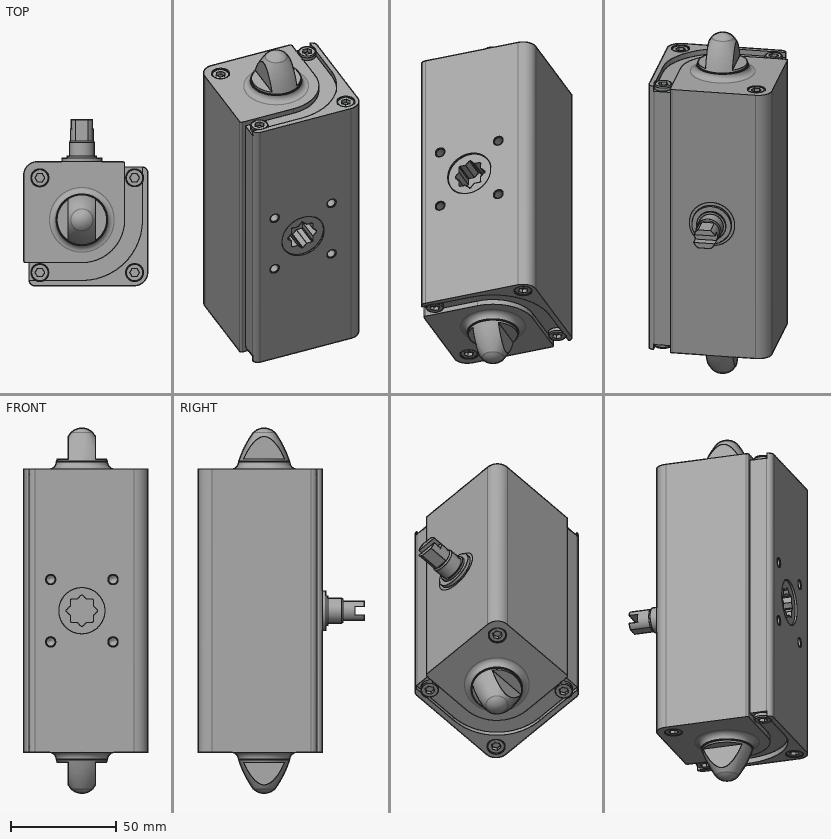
import cadquery as cq
import math


housing_length = 135.0
housing_half_length = housing_length / 2
block_side = 27.75
rail_side = 31.45
block_edge = 20.4
rail_end = 25.2
large_corner_radius = 6.6
rail_tip_radius = 2.8
block_tip_radius = 1.1

channel_depth = 2.6
channel_outer_radius = 28.9
channel_inner_radius = block_edge

screw_near = 20.0
screw_far = 25.1
screw_points = [
    (-screw_near, screw_near),
    (screw_far, screw_near),
    (-screw_near, -screw_far),
    (screw_far, -screw_far),
]
counterbore_diameter = 8.57
screw_head_diameter = 8.5
screw_head_drop = 0.35
screw_head_chamfer_height = 0.7
screw_head_chamfer_width = 0.35
hex_across_flats = 4.0
hex_across_corners = hex_across_flats / math.cos(math.radians(30))
hex_depth = 2.0

knob_height = 19.5
knob_radius = 12.3
knob_foot_radius = 15.4
knob_foot_height = 3.2
knob_foot_sag = 0.3
knob_groove_radius = 11.9
knob_groove_width = 0.5
knob_flank_base_radius = 12.1
knob_shoulder_height = 4.7
knob_blade_thickness = 13.0
knob_cap_radius = 5.2
knob_cap_base_height = 17.3
knob_flank_bulge = 0.45

mount_circle_diameter = 42.0
mount_pitch = mount_circle_diameter / math.sqrt(2)
mount_mouth_diameter = 4.92
mount_core_diameter = 4.13
mount_depth = 8.0
mount_tip_angle = 118.0

shaft_hub_diameter = 22.0
shaft_recess = 1.0
collar_diameter = 19.0
collar_length = 1.6
step_diameter = 14.1
step_length = 1.0
neck_diameter = 12.0
neck_length = 7.3
tip_diameter = 11.0
tip_length = 10.1
tip_across_flats = 9.2
neck_bevel_length = 0.9
neck_bevel_width = (neck_diameter - tip_diameter) / 2
slot_width = 4.0
slot_depth = 4.4
socket_square = 11.0
socket_tip_diameter = 15.0
socket_depth = 12.0


def housing_block():
    outline = (
        cq.Workplane("XY")
        .moveTo(-block_side, block_side)
        .lineTo(block_edge, block_side)
        .lineTo(block_edge, rail_end)
        .lineTo(rail_side, rail_end)
        .lineTo(rail_side, -rail_side)
        .lineTo(-rail_end, -rail_side)
        .lineTo(-rail_end, -block_edge)
        .lineTo(-block_side, -block_edge)
        .close()
    )
    block = outline.extrude(housing_half_length, both=True)

    def round_edges(solid, points, radius):
        for x, y in points:
            solid = solid.edges(cq.selectors.NearestToPointSelector((x, y, 0))).fillet(radius)
        return solid

    block = round_edges(block, [(-block_side, block_side), (rail_side, -rail_side)], large_corner_radius)
    block = round_edges(block, [(rail_side, rail_end), (-rail_end, -rail_side)], rail_tip_radius)
    return round_edges(block, [(block_edge, block_side), (-block_side, -block_edge)], block_tip_radius)


def rounded_quadrant(radius, height):
    """Prism filling x < radius, y > -radius, with the (+X, -Y) corner rounded about the origin."""
    reach = 2 * rail_side
    diagonal = radius / math.sqrt(2)
    return (
        cq.Workplane("XY")
        .moveTo(-reach, -radius)
        .lineTo(0, -radius)
        .threePointArc((diagonal, -diagonal), (radius, 0))
        .lineTo(radius, reach)
        .lineTo(-reach, reach)
        .close()
        .extrude(height)
    )


def end_cutter():
    """Channel and screw counterbores, with the screw heads left standing."""
    channel = rounded_quadrant(channel_outer_radius, channel_depth)
    channel = channel.cut(rounded_quadrant(channel_inner_radius, channel_depth))
    counterbores = (
        cq.Workplane("XY").pushPoints(screw_points).circle(counterbore_diameter / 2).extrude(channel_depth)
    )
    heads = (
        cq.Workplane("XY")
        .pushPoints(screw_points)
        .circle(screw_head_diameter / 2)
        .extrude(channel_depth - screw_head_drop)
        .faces(">Z")
        .chamfer(screw_head_chamfer_height, screw_head_chamfer_width)
    )
    sockets = (
        cq.Workplane("XY", origin=(0, 0, channel_depth - screw_head_drop - hex_depth))
        .pushPoints(screw_points)
        .polygon(6, hex_across_corners)
        .extrude(hex_depth)
    )
    cutter = channel.union(counterbores).cut(heads).union(sockets)
    return cutter.translate((0, 0, housing_half_length - channel_depth))


def knob():
    groove_top = knob_foot_height + knob_groove_width
    foot_middle = (
        knob_radius + (knob_foot_radius - knob_radius) * knob_foot_sag,
        knob_foot_height * knob_foot_sag,
    )
    flank_middle = (
        (knob_flank_base_radius + knob_cap_radius) / 2 + knob_flank_bulge,
        (groove_top + knob_cap_base_height) / 2 + knob_flank_bulge,
    )
    cap_height = knob_height - knob_cap_base_height
    cap_sphere_radius = (knob_cap_radius**2 + cap_height**2) / (2 * cap_height)
    cap_middle_radius = knob_cap_radius / 2
    cap_middle_height = knob_height - cap_sphere_radius + math.sqrt(cap_sphere_radius**2 - cap_middle_radius**2)
    turned = (
        cq.Workplane("XZ")
        .moveTo(0, 0)
        .lineTo(knob_foot_radius, 0)
        .threePointArc(foot_middle, (knob_radius, knob_foot_height))
        .lineTo(knob_groove_radius, knob_foot_height)
        .lineTo(knob_groove_radius, groove_top)
        .lineTo(knob_flank_base_radius, groove_top)
        .threePointArc(flank_middle, (knob_cap_radius, knob_cap_base_height))
        .threePointArc((cap_middle_radius, cap_middle_height), (0, knob_height))
        .close()
        .revolve(360, (0, 0, 0), (0, 1, 0))
    )
    blade_height = knob_height - knob_shoulder_height
    blade_base = cq.Workplane("XY", origin=(0, 0, knob_shoulder_height))
    upper_zone = blade_base.rect(3 * knob_radius, 3 * knob_radius).extrude(blade_height)
    blade = blade_base.rect(knob_blade_thickness, 3 * knob_radius).extrude(blade_height)
    return turned.cut(upper_zone.cut(blade)).translate((0, 0, housing_half_length))


def mounting_holes():
    mouth_depth = (mount_mouth_diameter - mount_core_diameter) / 2
    core_radius = mount_core_diameter / 2
    drill_tip_length = core_radius / math.tan(math.radians(mount_tip_angle / 2))
    hole = (
        cq.Workplane("XY")
        .moveTo(0, -rail_side)
        .lineTo(mount_mouth_diameter / 2, -rail_side)
        .lineTo(core_radius, -rail_side + mouth_depth)
        .lineTo(core_radius, -rail_side + mount_depth)
        .lineTo(0, -rail_side + mount_depth + drill_tip_length)
        .close()
        .revolve(360, (0, 0, 0), (0, 1, 0))
    )
    holes = cq.Workplane("XY")
    for x_sign in (-1, 1):
        for z_sign in (-1, 1):
            holes = holes.add(hole.translate((x_sign * mount_pitch / 2, 0, z_sign * mount_pitch / 2)))
    return holes.combine()


def y_cylinder(diameter, y_start, length):
    return cq.Workplane("XZ", origin=(0, y_start, 0)).circle(diameter / 2).extrude(-length)


def build_housing():
    body = housing_block()
    cutter = end_cutter()
    top_knob = knob()
    body = body.cut(cutter).cut(cutter.mirror("XY"))
    body = body.union(top_knob).union(top_knob.mirror("XY"))
    body = body.cut(mounting_holes())
    return body.cut(y_cylinder(shaft_hub_diameter, -rail_side, rail_side + block_side))


def build_shaft():
    hub_start = -rail_side + shaft_recess
    collar_end = block_side + collar_length
    step_end = collar_end + step_length
    neck_end = step_end + neck_length
    tip_end = neck_end + tip_length
    shaft = y_cylinder(shaft_hub_diameter, hub_start, block_side - hub_start)
    shaft = shaft.union(y_cylinder(collar_diameter, block_side, collar_length))
    shaft = shaft.union(y_cylinder(step_diameter, collar_end, step_length))
    neck = y_cylinder(neck_diameter, step_end, neck_length)
    neck = neck.faces(">Y").chamfer(neck_bevel_length, neck_bevel_width)
    shaft = shaft.union(neck)
    shaft = shaft.union(y_cylinder(tip_diameter, neck_end, tip_length))

    flat_zone = cq.Workplane("XZ", origin=(0, neck_end, 0)).rect(tip_diameter, 2 * tip_diameter)
    flat_zone = flat_zone.extrude(-tip_length)
    kept_zone = cq.Workplane("XZ", origin=(0, neck_end, 0)).rect(tip_diameter, tip_across_flats)
    kept_zone = kept_zone.extrude(-tip_length)
    shaft = shaft.cut(flat_zone.cut(kept_zone))

    slot = cq.Workplane("XZ", origin=(0, tip_end - slot_depth, 0)).rect(2 * tip_diameter, slot_width)
    shaft = shaft.cut(slot.extrude(-slot_depth))

    square = cq.Workplane("XZ", origin=(0, hub_start, 0)).rect(socket_square, socket_square)
    square = square.extrude(-socket_depth)
    star = square.union(square.rotate((0, 0, 0), (0, 1, 0), 45))
    star = star.intersect(y_cylinder(socket_tip_diameter, hub_start, socket_depth))
    return shaft.cut(star)


housing = build_housing()
shaft = build_shaft()

result = cq.Compound.makeCompound([housing.solids().val(), shaft.solids().val()])